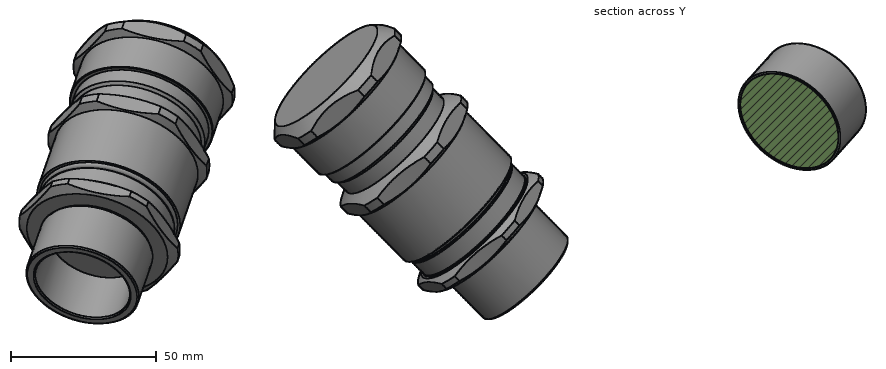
import cadquery as cq
import math

length = 100.8

across_flats = 52.0
across_corners = across_flats / math.cos(math.radians(30))
corner_diameter = 56.4
nut_face_diameter = 50.0
body_diameter = 50.9
body_edge_diameter = 50.4
body_lip_diameter = 49.1
collar_diameter = 48.0
neck_diameter = 46.0
thread_diameter = 40.0
relief_diameter = 38.5
bore_diameter = 33.6

relief_start = 18.7
nut_start = 19.9
nut_end = 26.0
lip_start = 33.3
body_start = 34.8
body_hex_start = 58.3
neck_start = 66.2
cap_collar_start = 71.8
cap_start = 77.9
cap_hex_start = 91.7

thread_chamfer = 0.5
bore_chamfer = 0.5
lip_rounding = 1.2
cap_collar_chamfer = 1.0
bore_depth = relief_start
collar_edge_chamfer = 0.5
foot_height = 0.5
foot_diameter = 48.4
hex_chamfer_slope = math.tan(math.radians(30))


def band(start, end, diameter):
    """Plain cylinder between two stations on the Y axis."""
    return cq.Workplane("XZ", origin=(0, start, 0)).circle(diameter / 2).extrude(start - end)


def hexagon(start, end, start_diameter, end_diameter, end_slope=hex_chamfer_slope):
    """Hexagon with flats facing +Z and -Z, rounded corners and a cone turned on each end."""
    corner = corner_diameter / 2
    start_radius = start_diameter / 2
    end_radius = end_diameter / 2
    start_drop = (corner - start_radius) * hex_chamfer_slope
    end_drop = (corner - end_radius) * end_slope
    prism = (
        cq.Workplane("XZ", origin=(0, start, 0))
        .polygon(6, across_corners)
        .extrude(start - end)
    )
    envelope = (
        cq.Workplane("XY")
        .moveTo(0, start)
        .lineTo(start_radius, start)
        .lineTo(corner, start + start_drop)
        .lineTo(corner, end - end_drop)
        .lineTo(end_radius, end)
        .lineTo(0, end)
        .close()
        .revolve(360, (0, 0, 0), (0, 1, 0))
    )
    return prism.intersect(envelope)


spigot = band(0, relief_start, thread_diameter).faces("<Y").chamfer(thread_chamfer)
relief = band(relief_start, nut_start, relief_diameter)
entry_hex = hexagon(nut_start, nut_end, nut_face_diameter, nut_face_diameter)
entry_collar = band(nut_end, lip_start, collar_diameter).faces(">Y").chamfer(collar_edge_chamfer)
collar_foot = (
    cq.Workplane("XZ", origin=(0, nut_end, 0))
    .circle(foot_diameter / 2)
    .workplane(offset=-foot_height)
    .circle(collar_diameter / 2)
    .loft()
)

lip = band(lip_start, body_start, body_lip_diameter).faces("<Y").edges().fillet(lip_rounding)
barrel = band(body_start, body_hex_start, body_diameter)
body_hex = hexagon(body_hex_start, neck_start, body_diameter, neck_diameter)
neck = band(neck_start, cap_collar_start, neck_diameter)

cap_collar = band(cap_collar_start, cap_start, collar_diameter).faces("<Y").chamfer(cap_collar_chamfer)
skirt_chamfer = (body_diameter - body_edge_diameter) / 2
skirt = band(cap_start, cap_hex_start, body_diameter).faces("<Y").chamfer(skirt_chamfer)
cap_hex = hexagon(cap_hex_start, length, body_diameter, collar_diameter, end_slope=1)

sections = (
    relief, entry_hex, entry_collar, collar_foot,
    lip, barrel, body_hex, neck,
    cap_collar, skirt, cap_hex,
)
result = spigot
for section in sections:
    result = result.union(section)

bore = band(0, bore_depth, bore_diameter)
bore_mouth = (
    cq.Workplane("XZ")
    .circle(bore_diameter / 2 + bore_chamfer)
    .workplane(offset=-bore_chamfer)
    .circle(bore_diameter / 2)
    .loft()
)
result = result.cut(bore).cut(bore_mouth)